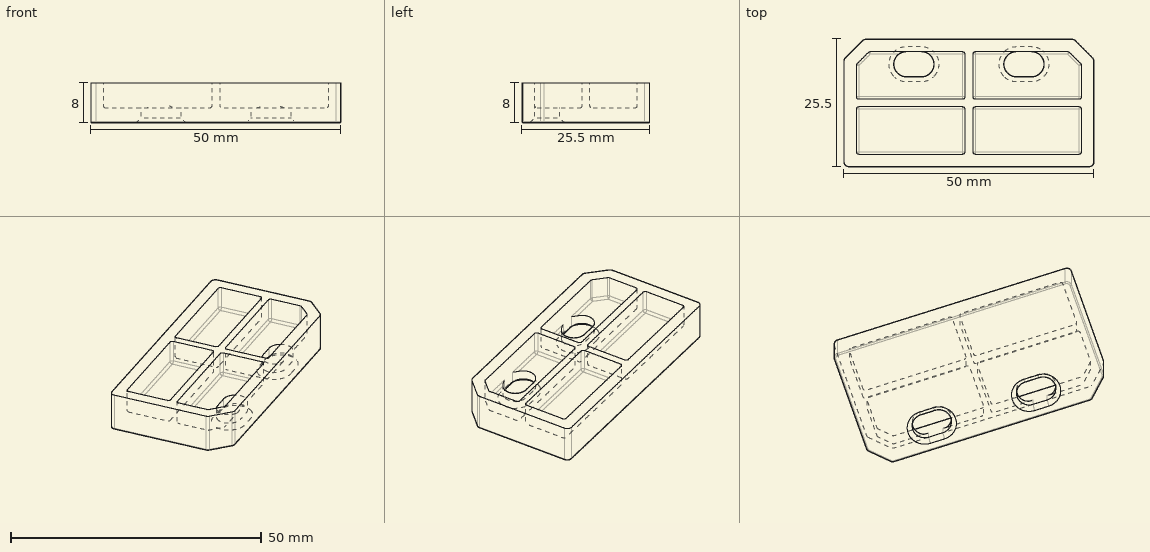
import cadquery as cq
import math

length = 50.0
width = 25.5
height = 8.0
corner_chamfer = 4.0
corner_radius = 1.0
base_edge_radius = 0.3

wall = 2.5
cross_rib = 1.6
long_rib = 1.5
floor = 3.0
pocket_radius = 0.5
pocket_length = (length - 2 * wall - cross_rib) / 2
pocket_width = (width - 2 * wall - long_rib) / 2
pocket_x = (pocket_length + cross_rib) / 2
pocket_y = (pocket_width + long_rib) / 2
pocket_chamfer = corner_chamfer - wall * (2 - math.sqrt(2))

slot_length = 8.0
slot_width = 5.0
slot_chamfer = 1.0
slot_chamfer_angle = 45.0
slot_x = 11.0
slot_y = width / 2 - wall - slot_width / 2


def make_block():
    """Block with chamfered rear corners, rounded uprights and a rounded base edge."""
    block = cq.Workplane("XY").box(length, width, height, centered=(True, True, False))
    block = block.edges("|Z and >Y").chamfer(corner_chamfer)
    block = block.edges("|Z").fillet(corner_radius)
    return block.faces("<Z").edges().fillet(base_edge_radius)


def make_pocket(x_side, y_side):
    """Pocket volume in one quadrant, rounded at its upright and floor edges."""
    pocket = (
        cq.Workplane("XY", origin=(x_side * pocket_x, y_side * pocket_y, floor))
        .box(pocket_length, pocket_width, height - floor, centered=(True, True, False))
    )
    if y_side > 0:
        outer_rear_edge = "|Z and >Y and >X" if x_side > 0 else "|Z and >Y and <X"
        pocket = pocket.edges(outer_rear_edge).chamfer(pocket_chamfer)
    pocket = pocket.edges("|Z").fillet(pocket_radius)
    return pocket.faces("<Z").edges().fillet(pocket_radius)


def make_slot(x_side):
    """Round-ended slot volume, flared by a chamfer where it leaves the underside."""
    slot_plane = cq.Workplane("XY", origin=(x_side * slot_x, slot_y, 0))
    slot = slot_plane.slot2D(slot_length, slot_width).extrude(height)
    flare = (
        slot_plane
        .slot2D(slot_length + 2 * slot_chamfer, slot_width + 2 * slot_chamfer)
        .extrude(slot_chamfer, taper=slot_chamfer_angle)
    )
    return slot.union(flare)


result = make_block()
for x_side in (-1, 1):
    for y_side in (-1, 1):
        result = result.cut(make_pocket(x_side, y_side))
    result = result.cut(make_slot(x_side))